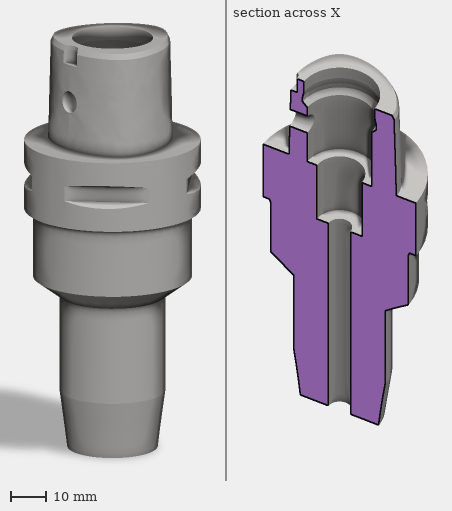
import cadquery as cq
import math

total_height = 120
flange_top = 90.1
flange_bottom = 70.0
relief_bottom = 68.9
body_bottom = 50.2
neck_top = 44.5
nose_top = 16.5

flange_radius = 50.0 / 2
relief_radius = 22.9
body_radius = 22.5
neck_radius = 15.0
nose_radius = 12.8

shank_base_radius = 17.6
shank_tip_radius = 16.9
shank_end_radius = 16.2
lobe_height = 1.1
shank_chamfer_height = 1.5

mouth_radius = 11.5
mouth_depth = 4.0
groove_radius = 12
groove_taper_depth = 6.4
groove_bottom_depth = 7.9
bore_radius = 10.5
seat_depth = 9.5
bore_depth = 30
screw_bore_radius = 7.3
screw_bore_depth = 50.4
through_radius = 3.6

slot_radius = 3.2
slot_depth = 5.2
slot_center_y = -17.2
cross_hole_radius = 3.1
cross_hole_z = 104.0

notch_count = 4
notch_length = 24.5
notch_flat_distance = 22.0
notch_height = 4.3
notch_mouth_height = 6.7
notch_z = 80.0


def revolve_profile(points):
    """Turn (radius, z) points around the Z axis."""
    return cq.Workplane("XZ").polyline(points).close().revolve(360, (0, 0, 0), (0, 1, 0))


def lobed_point(angle, mean_radius):
    """Point on a constant-width outline with one lobe toward +Y."""
    support = mean_radius - lobe_height * math.sin(3 * angle)
    slope = -3 * lobe_height * math.cos(3 * angle)
    x = support * math.cos(angle) - slope * math.sin(angle)
    y = support * math.sin(angle) + slope * math.cos(angle)
    return (x, y)


def lobed_wire(mean_radius, z, segments=48):
    points = []
    for i in range(segments):
        x, y = lobed_point(2 * math.pi * i / segments - math.pi / 2, mean_radius)
        points.append(cq.Vector(x, y, z))
    return cq.Wire.assembleEdges([cq.Edge.makeSpline(points, periodic=True)])


def make_shank():
    chamfer_z = total_height - shank_chamfer_height
    base = lobed_wire(shank_base_radius, flange_top)
    tip = lobed_wire(shank_tip_radius, chamfer_z)
    end = lobed_wire(shank_end_radius, total_height)
    taper = cq.Workplane(cq.Solid.makeLoft([base, tip], True))
    chamfer = cq.Workplane(cq.Solid.makeLoft([tip, end], True))
    return taper.union(chamfer)


def make_body():
    return revolve_profile([
        (0, 0),
        (nose_radius, 0),
        (neck_radius, nose_top),
        (neck_radius, neck_top),
        (body_radius, body_bottom),
        (body_radius, relief_bottom),
        (relief_radius, flange_bottom),
        (flange_radius, flange_bottom),
        (flange_radius, flange_top),
        (0, flange_top),
    ])


def make_bore():
    steps = [
        (0, 0),
        (mouth_radius, 0),
        (mouth_radius, mouth_depth),
        (groove_radius, groove_taper_depth),
        (groove_radius, groove_bottom_depth),
        (bore_radius, seat_depth),
        (bore_radius, bore_depth),
        (screw_bore_radius, bore_depth),
        (screw_bore_radius, screw_bore_depth),
        (through_radius, screw_bore_depth),
        (through_radius, total_height),
        (0, total_height),
    ]
    points = [(radius, total_height - depth) for radius, depth in steps]
    return revolve_profile(points)


def make_slot():
    return (
        cq.Workplane("XY", origin=(0, slot_center_y, total_height - slot_depth))
        .circle(slot_radius)
        .extrude(slot_depth)
    )


def make_cross_hole():
    return (
        cq.Workplane("XZ", origin=(0, 0, cross_hole_z))
        .circle(cross_hole_radius)
        .extrude(flange_radius)
    )


def make_notch():
    """Flat-bottomed notch on the +X side, flaring outward in height."""
    profile = [
        (notch_flat_distance, -notch_height / 2),
        (flange_radius, -notch_mouth_height / 2),
        (flange_radius, notch_mouth_height / 2),
        (notch_flat_distance, notch_height / 2),
    ]
    return (
        cq.Workplane("XZ", origin=(0, 0, notch_z))
        .polyline(profile)
        .close()
        .extrude(notch_length / 2, both=True)
    )


result = make_body().union(make_shank())
result = result.cut(make_bore())
result = result.cut(make_slot())
result = result.cut(make_cross_hole())
for i in range(notch_count):
    notch_angle = 45 + i * 360 / notch_count
    result = result.cut(make_notch().rotate((0, 0, 0), (0, 0, 1), notch_angle))